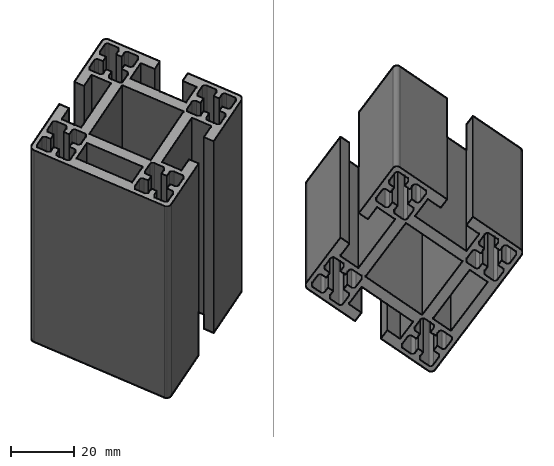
import cadquery as cq

SIDE = 50.0
LENGTH = 100.0
OUTER_RADIUS = 1.6

SLOT_OPENING = 10.0
LIP_THICKNESS = 3.5
CAVITY_WIDTH = 20.0
CAVITY_DEPTH = 7.0

CORE_SIZE = 22.0

CHAMBER_SIZE = 12.0
CHAMBER_WALL = 1.5
RIB_WIDTH = 2.0
RIB_TIP_GAP = 6.7
LOBE_RADIUS = 1.0

HALF_SIDE = SIDE / 2
CHAMBER_OFFSET = HALF_SIDE - CHAMBER_WALL - CHAMBER_SIZE / 2

OPEN_SLOT_ANGLES = (0, 90, 270)
CLOSED_SLOT_ANGLE = 180


def prism(x_size, y_size, x=0.0, y=0.0):
    """Full-length rectangular block centred at (x, y)."""
    return cq.Workplane("XY").center(x, y).rect(x_size, y_size).extrude(LENGTH)


def turned(solid, angle):
    """Solid rotated about the long axis of the extrusion."""
    return solid.rotate((0, 0, 0), (0, 0, 1), angle)


def slot_cavity():
    """Wide inner part of the +Y slot, below the lips."""
    y_center = HALF_SIDE - LIP_THICKNESS - CAVITY_DEPTH / 2
    return prism(CAVITY_WIDTH, CAVITY_DEPTH, y=y_center)


def open_slot():
    """Cavity of the +Y slot together with its opening between the lips."""
    opening_depth = LIP_THICKNESS + CAVITY_DEPTH
    opening = prism(SLOT_OPENING, opening_depth, y=HALF_SIDE - opening_depth / 2)
    return slot_cavity().union(opening)


def corner_chamber(x, y):
    """Hollow at (x, y): four rounded lobes joined by a square opening between the rib tips."""
    lobe_size = (CHAMBER_SIZE - RIB_WIDTH) / 2
    lobe_pitch = lobe_size + RIB_WIDTH
    lobes = (
        cq.Workplane("XY")
        .center(x, y)
        .rarray(lobe_pitch, lobe_pitch, 2, 2)
        .rect(lobe_size, lobe_size)
        .extrude(LENGTH)
        .edges("|Z")
        .fillet(LOBE_RADIUS)
    )
    return lobes.union(prism(RIB_TIP_GAP, RIB_TIP_GAP, x, y))


def extrusion():
    """Complete profile, extruded upwards from Z = 0."""
    body = prism(SIDE, SIDE).edges("|Z").fillet(OUTER_RADIUS)
    body = body.cut(prism(CORE_SIZE, CORE_SIZE))
    for angle in OPEN_SLOT_ANGLES:
        body = body.cut(turned(open_slot(), angle))
    body = body.cut(turned(slot_cavity(), CLOSED_SLOT_ANGLE))
    for x in (-CHAMBER_OFFSET, CHAMBER_OFFSET):
        for y in (-CHAMBER_OFFSET, CHAMBER_OFFSET):
            body = body.cut(corner_chamber(x, y))
    return body


result = extrusion()